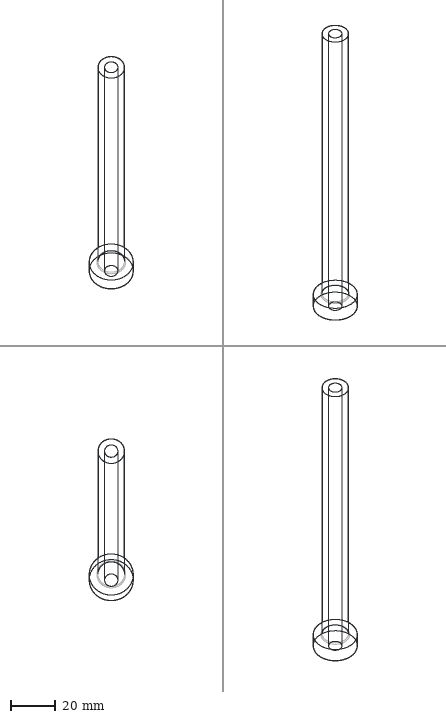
import cadquery as cq
import math

total_length = 160.0
head_diameter = 20.0
head_height = 7.0
shaft_diameter = 12.0
bore_diameter = 6.0
neck_fillet = 0.5

head_radius = head_diameter / 2
shaft_radius = shaft_diameter / 2


def sleeve_body():
    """Solid head and shaft turned about Z, with the neck fillet between them."""
    fillet_mid = neck_fillet * (1 - math.cos(math.radians(45)))
    half_section = (
        cq.Workplane("XZ")
        .lineTo(-head_radius, 0)
        .lineTo(-head_radius, head_height)
        .lineTo(-shaft_radius - neck_fillet, head_height)
        .threePointArc(
            (-shaft_radius - fillet_mid, head_height + fillet_mid),
            (-shaft_radius, head_height + neck_fillet),
        )
        .lineTo(-shaft_radius, total_length)
        .lineTo(0, total_length)
        .close()
    )
    return half_section.revolve(360, (0, 0, 0), (0, 1, 0))


def through_bore():
    """Cylinder that clears the sleeve from end to end."""
    return cq.Workplane("XY").circle(bore_diameter / 2).extrude(total_length)


result = sleeve_body().cut(through_bore())